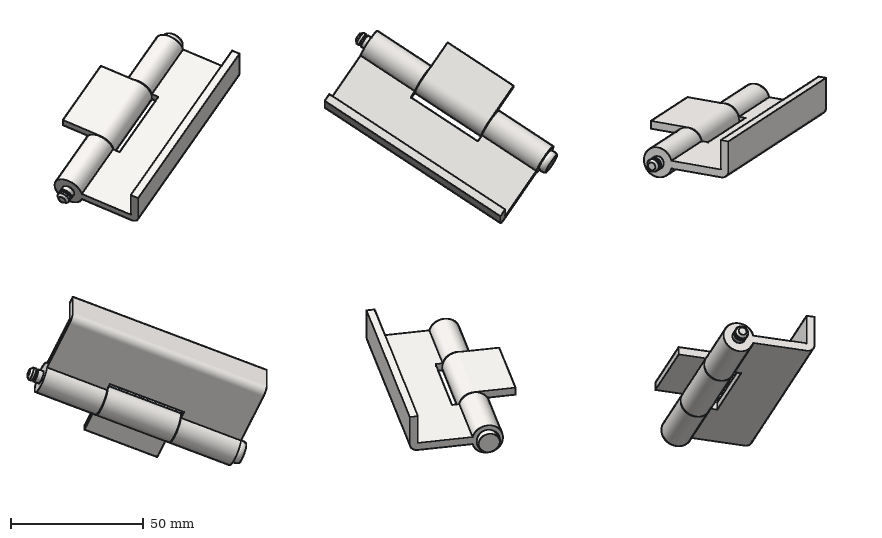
import cadquery as cq

overall_length = 88.0
head_length = 3.0
tail_length = 5.0
frame_length = overall_length - head_length - tail_length

barrel_radius = 6.0
leaf_thickness = 3.2
door_leaf_reach = 16.0
frame_leaf_reach = 30.0
flange_top = 13.4
bend_radius = 3.0

door_length = 30.0
side_gap = 0.3
notch_length = door_length + 2 * side_gap
notch_reach = 8.5

pin_diameter = 5.0
pin_radius = pin_diameter / 2
head_radius = 4.5
head_end_radius = 4.05
groove_offset = 2.1
groove_width = 0.8
groove_depth = 0.5
tip_chamfer = 1.0


def rod(radius, start_y, length):
    """Solid cylinder on the hinge axis, running toward +Y from start_y."""
    return cq.Workplane("XZ", origin=(0, start_y, 0)).circle(radius).extrude(-length)


def centred_rod(radius, length):
    """Cylinder on the hinge axis, centred on Y = 0."""
    return rod(radius, -length / 2, length)


def block(x_min, x_max, length, z_min, z_max):
    """Box centred on Y = 0 between the given X and Z limits."""
    return (
        cq.Workplane("XY")
        .box(x_max - x_min, length, z_max - z_min, centered=(False, True, False))
        .translate((x_min, 0, z_min))
    )


def make_frame_leaf():
    """L-shaped leaf with two outer knuckles and a notch between them."""
    half_thickness = leaf_thickness / 2
    plate = block(0, frame_leaf_reach, frame_length, -half_thickness, half_thickness)
    flange = block(
        frame_leaf_reach - leaf_thickness, frame_leaf_reach, frame_length, -half_thickness, flange_top
    )
    angle = plate.union(flange).edges("|Y and >X and <Z").fillet(bend_radius)
    notch = block(-notch_reach, notch_reach, notch_length, -notch_reach, notch_reach)
    pin_hole = centred_rod(pin_radius, frame_length)
    return angle.union(centred_rod(barrel_radius, frame_length)).cut(notch).cut(pin_hole)


def make_door_leaf():
    """Flat leaf tangent to the top of the middle knuckle."""
    plate = block(-door_leaf_reach, 0, door_length, barrel_radius - leaf_thickness, barrel_radius)
    knuckle = centred_rod(barrel_radius, door_length)
    pin_hole = centred_rod(pin_radius, door_length)
    return plate.union(knuckle).cut(pin_hole)


def make_pin_head(start_y):
    """Button head whose side bulges in one arc between two flat end faces."""
    end_y = start_y + head_length
    return (
        cq.Workplane("XY")
        .moveTo(0, start_y)
        .lineTo(head_end_radius, start_y)
        .threePointArc((head_radius, start_y + head_length / 2), (head_end_radius, end_y))
        .lineTo(0, end_y)
        .close()
        .revolve(360, (0, 0, 0), (0, 1, 0))
    )


def make_pin():
    """Pin with a bulged head at +Y and a grooved, chamfered tail at -Y."""
    frame_end = frame_length / 2
    shank = rod(pin_radius, -frame_end - tail_length, tail_length + frame_length)
    shank = shank.faces("<Y").chamfer(tip_chamfer)
    head = make_pin_head(frame_end)
    groove_start = -frame_end - groove_offset - groove_width
    groove_core = rod(pin_radius - groove_depth, groove_start, groove_width)
    groove = rod(head_radius, groove_start, groove_width).cut(groove_core)
    return shank.union(head).cut(groove)


frame_leaf = make_frame_leaf()
door_leaf = make_door_leaf()
pin = make_pin()

result = cq.Compound.makeCompound(
    [*frame_leaf.solids().vals(), *door_leaf.solids().vals(), *pin.solids().vals()]
)